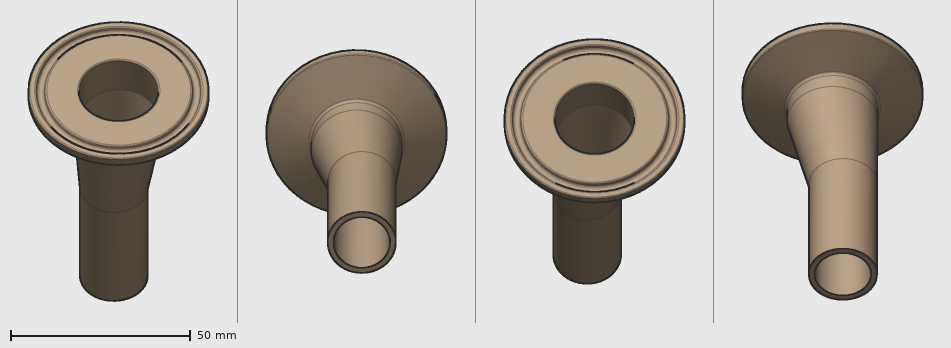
import cadquery as cq
import math

total_length = 76.2

flange_radius = 50.4 / 2
rim_height = 2.8
flange_back_angle = 20.0
rim_round = 0.4
neck_fillet = 1.0
bore_edge_round = 0.45

groove_mid_radius = 21.8
groove_half_width = 1.4
groove_floor_radius = 1.15
groove_wall_angle = 65.0
groove_edge_round = 0.5

neck_radius = 25.4 / 2
tube_radius = 19.05 / 2
tube_length = total_length / 2
reducer_length = total_length / 3
reducer_top = tube_length + reducer_length
neck_bore_radius = 22.1 / 2
tube_bore_radius = 15.8 / 2

tube_offset = neck_radius - tube_radius

match_tolerance = 0.01


def round_rings(body, round_radius, rings):
    """Fillet the circular edges given as (radius, height) pairs."""
    edges = [
        edge
        for edge in body.edges("%CIRCLE").vals()
        for radius, height in rings
        if math.isclose(edge.radius(), radius, abs_tol=match_tolerance)
        and math.isclose(edge.Center().z, height, abs_tol=match_tolerance)
    ]
    return body.newObject(edges).fillet(round_radius)


def make_ferrule():
    """Revolved solid of the clamp flange and its neck, with the groove in the face."""
    rim_bottom = total_length - rim_height
    cone_drop = (flange_radius - neck_radius) * math.tan(math.radians(flange_back_angle))
    cone_bottom = rim_bottom - cone_drop

    wall_angle = math.radians(groove_wall_angle)
    groove_inner = groove_mid_radius - groove_half_width
    groove_outer = groove_mid_radius + groove_half_width
    floor_half_width = groove_floor_radius * math.sin(wall_angle)
    floor_edge = total_length - (groove_half_width - floor_half_width) * math.tan(wall_angle)
    groove_bottom = floor_edge - groove_floor_radius * (1 - math.cos(wall_angle))

    ferrule = (
        cq.Workplane("XZ")
        .moveTo(0, reducer_top)
        .lineTo(neck_radius, reducer_top)
        .lineTo(neck_radius, cone_bottom)
        .lineTo(flange_radius, rim_bottom)
        .lineTo(flange_radius, total_length)
        .lineTo(groove_outer, total_length)
        .lineTo(groove_mid_radius + floor_half_width, floor_edge)
        .threePointArc(
            (groove_mid_radius, groove_bottom),
            (groove_mid_radius - floor_half_width, floor_edge),
        )
        .lineTo(groove_inner, total_length)
        .lineTo(0, total_length)
        .close()
        .revolve(360, (0, 0, 0), (0, 1, 0))
    )

    ferrule = round_rings(ferrule, rim_round, [(flange_radius, total_length), (flange_radius, rim_bottom)])
    ferrule = round_rings(
        ferrule, groove_edge_round, [(groove_inner, total_length), (groove_outer, total_length)]
    )
    return round_rings(ferrule, neck_fillet, [(neck_radius, cone_bottom)])


def make_reducer(top_radius, bottom_radius):
    """Eccentric cone between the neck and the offset tube."""
    return (
        cq.Workplane("XY")
        .workplane(offset=tube_length)
        .center(0, -tube_offset)
        .circle(bottom_radius)
        .workplane(offset=reducer_length)
        .center(0, tube_offset)
        .circle(top_radius)
        .loft(ruled=True)
    )


def make_tube(radius):
    """Straight cylinder on the offset axis, from the bottom end to the reducer."""
    return cq.Workplane("XY").center(0, -tube_offset).circle(radius).extrude(tube_length)


def make_neck_bore():
    """Bore through the ferrule, flared by a round at the flange face."""
    mouth_radius = neck_bore_radius + bore_edge_round
    arc_inset = bore_edge_round * (1 - math.sqrt(0.5))
    return (
        cq.Workplane("XZ")
        .moveTo(0, reducer_top)
        .lineTo(neck_bore_radius, reducer_top)
        .lineTo(neck_bore_radius, total_length - bore_edge_round)
        .threePointArc(
            (neck_bore_radius + arc_inset, total_length - arc_inset),
            (mouth_radius, total_length),
        )
        .lineTo(0, total_length)
        .close()
        .revolve(360, (0, 0, 0), (0, 1, 0))
    )


outside = make_ferrule().union(make_reducer(neck_radius, tube_radius)).union(make_tube(tube_radius))
passage = (
    make_neck_bore()
    .union(make_reducer(neck_bore_radius, tube_bore_radius))
    .union(make_tube(tube_bore_radius))
)
result = outside.cut(passage)